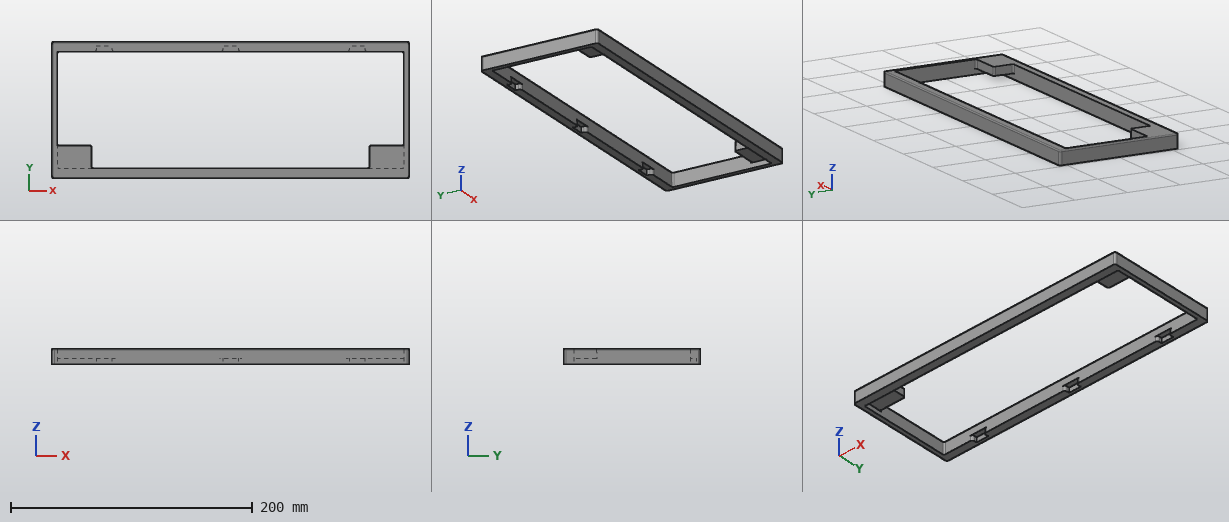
import cadquery as cq
length = 295.7
width = 113.2
height = 13.0
corner_radius = 2.0
top_edge_radius = 1.0

side_wall = 4.4
rear_wall = 8.35
front_wall = 8.4
opening_corner_radius = 1.5
opening_draft = 0.75

tab_reach_x = 32.9
tab_reach_y = 27.2
tab_thickness = 8.0

notch_spacing = 104.6
notch_width = 13.0
notch_depth = 5.0
notch_height = 5.25
notch_mouth_radius = 2.5
mouth_search_margin = 1.0


def frame_body():
    block = cq.Workplane("XY").box(length, width, height, centered=(True, True, False))
    return block.edges("|Z").fillet(corner_radius).faces(">Z").edges().fillet(top_edge_radius)


def tapered_cutter(outline):
    closed_outline = outline + outline[:1]
    profile = cq.Sketch().polygon(closed_outline).vertices().fillet(opening_corner_radius)
    top_plane = cq.Workplane("XY", origin=(0, 0, height))
    return top_plane.placeSketch(profile).extrude(-height, taper=opening_draft)


def opening():
    half_x = length / 2 - side_wall
    rear_y = width / 2 - rear_wall
    front_y = front_wall - width / 2
    tab_x = length / 2 - tab_reach_x
    tab_y = tab_reach_y - width / 2
    around_tabs = [
        (-half_x, rear_y),
        (half_x, rear_y),
        (half_x, tab_y),
        (tab_x, tab_y),
        (tab_x, front_y),
        (-tab_x, front_y),
        (-tab_x, tab_y),
        (-half_x, tab_y),
    ]
    full_rectangle = [(-half_x, rear_y), (half_x, rear_y), (half_x, front_y), (-half_x, front_y)]
    tab_clearance = cq.Workplane("XY").box(length, width, height - tab_thickness, centered=(True, True, False))
    below_tabs = tapered_cutter(full_rectangle).intersect(tab_clearance)
    return tapered_cutter(around_tabs).union(below_tabs)


def cut_notch(body, center_x):
    inner_face_y = width / 2 - rear_wall
    pocket = cq.Workplane("XY").box(notch_width, 2 * notch_depth, notch_height, centered=(True, True, False))
    notched = body.cut(pocket.translate((center_x, inner_face_y, 0)))
    mouth = cq.selectors.BoxSelector(
        (center_x - notch_width, inner_face_y - mouth_search_margin, notch_height / 4),
        (center_x + notch_width, inner_face_y + mouth_search_margin, notch_height * 3 / 4),
    )
    return notched.edges(mouth).fillet(notch_mouth_radius)


result = frame_body().cut(opening())
for notch_x in (-notch_spacing, 0, notch_spacing):
    result = cut_notch(result, notch_x)